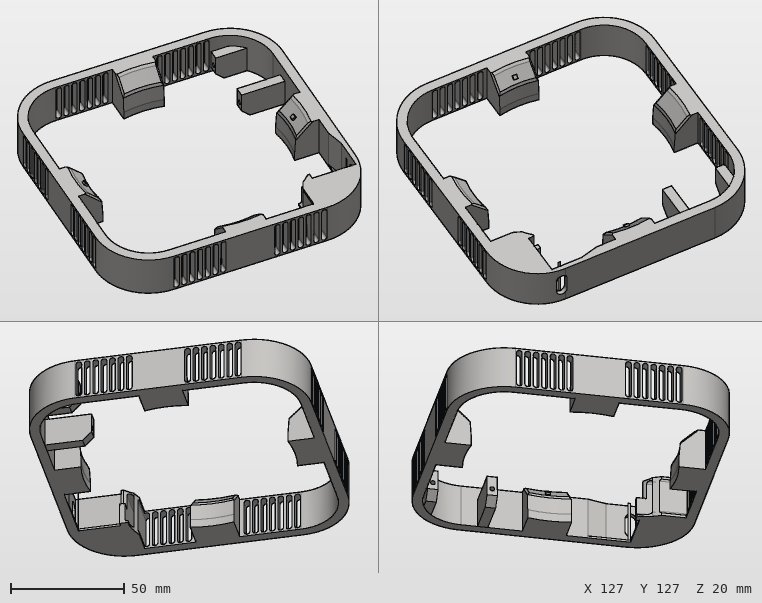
import cadquery as cq
import math

SIDE = 127.0
HEIGHT = 20.0
CORNER_RADIUS = 25.8
WALL = 4.7
INNER = SIDE / 2 - WALL

SLOT_WIDTH = 2.5
SLOT_LENGTH = 18.0
SLOT_PITCH = 3.8
SLOTS_PER_GROUP = 7
FIRST_SLOT = 13.2

TAB_WIDTH = 19.8
TAB_SEAT_RADIUS = 47.9
TAB_SEAT_HEIGHT = 4.1
TAB_FACE_TOP = (48.4, 12.2)
TAB_RAMP_START = (49.0, 13.7)
TAB_RAMP_END = (54.5, 19.0)
TAB_TOP_RADIUS = 55.9
TAB_RAMP_BEVEL = 0.9

BUMP_SIZE = 2.0
BUMP_HEIGHT = 1.0
BUMP_RADIUS = 51.2

BLOCK_X = 43.3
BLOCK_END_Y = 39.8
BLOCK_FRONT_Y = INNER - 25.7
BLOCK_FRONT_X = 47.8
BLOCK_FRONT_BULGE = (44.0, 34.8)
STUB_X = 37.2
STUB_Y = 36.0
STUB_ARC_X = 39.8
STUB_HEIGHT = 10.4
POST_X = 40.5
POST_BEVEL_Y = 38.7
POST_BEVEL_END = (42.8, 36.3)

LEDGE_X = 39.0
LEDGE_HEIGHT = 1.0
RECESS_Y = 61.1
RECESS_START_X = 19.7
RECESS_FULL_X = 28.3

OPENING_X = 39.5
OPENING_WIDTH = 5.1
OPENING_LENGTH = 11.7

BAR_CENTERS_X = (-54.6, -27.8)
BAR_WIDTH = 4.7
BAR_HEIGHT = 13.6
BAR_END_Y = 37.6
BAR_BEVEL = 4.1
BAR_HOLE_DIAMETER = 2.0
BAR_HOLE_Z = 7.4
BAR_HOLE_DEPTH = 6.4


def rounded_square(side, radius):
    return cq.Workplane("XY").rect(side, side).extrude(HEIGHT).edges("|Z").fillet(radius)


outer_form = rounded_square(SIDE, CORNER_RADIUS)
cavity = rounded_square(2 * INNER, CORNER_RADIUS - WALL)


def make_tab():
    """Tab on the +X wall: a ramped profile turned about the frame axis, trimmed to the tab width."""
    outer_radius = SIDE / 2 - WALL / 4
    ring = (
        cq.Workplane("XZ")
        .moveTo(outer_radius, 0)
        .lineTo(TAB_SEAT_RADIUS, 0)
        .lineTo(TAB_SEAT_RADIUS, TAB_SEAT_HEIGHT)
        .lineTo(*TAB_FACE_TOP)
        .lineTo(*TAB_RAMP_START)
        .lineTo(*TAB_RAMP_END)
        .lineTo(TAB_TOP_RADIUS, HEIGHT)
        .lineTo(outer_radius, HEIGHT)
        .close()
        .revolve(360, (0, 0), (0, 1))
    )
    trim = cq.Workplane("XY").box(INNER + WALL / 4, TAB_WIDTH, HEIGHT, centered=(False, True, False))
    tab = ring.intersect(trim)
    margin = 0.4
    ramp_sides = cq.selectors.BoxSelector(
        (TAB_RAMP_START[0] - 1.3, -SIDE, TAB_RAMP_START[1] + margin),
        (TAB_RAMP_END[0], SIDE, TAB_RAMP_END[1] - margin),
    )
    return tab.edges(ramp_sides).chamfer(TAB_RAMP_BEVEL)


def make_bump():
    """Small square bump standing square to the ramp of the +X tab."""
    rise = TAB_RAMP_END[1] - TAB_RAMP_START[1]
    run = TAB_RAMP_END[0] - TAB_RAMP_START[0]
    z = TAB_RAMP_START[1] + (BUMP_RADIUS - TAB_RAMP_START[0]) * rise / run
    slope = math.degrees(math.atan2(rise, run))
    return (
        cq.Workplane("XY")
        .box(BUMP_SIZE, BUMP_SIZE, 2 * BUMP_HEIGHT)
        .rotate((0, 0, 0), (0, 1, 0), -slope)
        .translate((BUMP_RADIUS, 0, z))
    )


def block_front(start):
    """Continue an outline from its start along the block's curved front, out to the frame edge."""
    return (
        start.threePointArc(BLOCK_FRONT_BULGE, (BLOCK_FRONT_X, BLOCK_FRONT_Y))
        .lineTo(SIDE / 2, BLOCK_FRONT_Y)
        .lineTo(SIDE / 2, SIDE / 2)
        .lineTo(BLOCK_X, SIDE / 2)
        .lineTo(BLOCK_X, BLOCK_END_Y)
    )


def make_corner_block():
    stub = (
        cq.Workplane("XY")
        .moveTo(STUB_X, BLOCK_END_Y)
        .lineTo(STUB_X, STUB_Y)
        .lineTo(STUB_ARC_X, STUB_Y)
    )
    lower = block_front(stub).close().extrude(STUB_HEIGHT)
    post = (
        cq.Workplane("XY")
        .moveTo(POST_X, BLOCK_END_Y)
        .lineTo(POST_X, POST_BEVEL_Y)
        .lineTo(*POST_BEVEL_END)
        .lineTo(*BLOCK_FRONT_BULGE)
        .lineTo(BLOCK_FRONT_X, BLOCK_FRONT_Y)
        .lineTo(SIDE / 2, BLOCK_FRONT_Y)
        .lineTo(SIDE / 2, SIDE / 2)
        .lineTo(BLOCK_X, SIDE / 2)
        .lineTo(BLOCK_X, BLOCK_END_Y)
        .close()
        .extrude(HEIGHT)
    )
    ledge = (
        cq.Workplane("XY")
        .rect(SIDE / 2 - LEDGE_X, SIDE / 2 - BLOCK_END_Y, centered=False)
        .extrude(LEDGE_HEIGHT)
        .translate((LEDGE_X, BLOCK_END_Y, 0))
    )
    return lower.union(post).union(ledge).intersect(outer_form)


def make_wall_recess():
    return (
        cq.Workplane("XY")
        .workplane(offset=LEDGE_HEIGHT)
        .moveTo(RECESS_START_X, INNER)
        .lineTo(RECESS_FULL_X, RECESS_Y)
        .lineTo(BLOCK_X, RECESS_Y)
        .lineTo(BLOCK_X, BLOCK_END_Y)
        .lineTo(LEDGE_X, BLOCK_END_Y)
        .lineTo(LEDGE_X, INNER)
        .close()
        .extrude(HEIGHT)
    )


def make_opening():
    return (
        cq.Workplane("XZ", origin=(OPENING_X, INNER, HEIGHT / 2))
        .slot2D(OPENING_LENGTH, OPENING_WIDTH, 90)
        .extrude(-SIDE / 2)
    )


slot_places = [
    (side * (FIRST_SLOT + i * SLOT_PITCH), HEIGHT / 2) for side in (-1, 1) for i in range(SLOTS_PER_GROUP)
]


def vent_cutter(plane):
    """All the vent slots of one wall, as bars starting on the given plane through the frame axis."""
    return cq.Workplane(plane).pushPoints(slot_places).slot2D(SLOT_LENGTH, SLOT_WIDTH, 90)


front_vents = vent_cutter("XZ").extrude(SIDE)
cross_vents = vent_cutter("YZ").extrude(SIDE, both=True)

frame = outer_form.cut(cavity).union(make_corner_block())
tab = make_tab()
bumped_tab = tab.union(make_bump())
for quarter in range(4):
    shape = bumped_tab if quarter % 2 else tab
    frame = frame.union(shape.rotate((0, 0, 0), (0, 0, 1), 90 * quarter))
frame = frame.cut(make_wall_recess()).cut(make_opening())
frame = frame.cut(front_vents).cut(cross_vents)


def make_bar(center_x):
    """Bar reaching from the inner wall face, with a beveled lower end and a hole in its end face."""
    bar = (
        cq.Workplane("YZ", origin=(center_x - BAR_WIDTH / 2, 0, 0))
        .moveTo(INNER, 0)
        .lineTo(BAR_END_Y + BAR_BEVEL, 0)
        .lineTo(BAR_END_Y, BAR_BEVEL)
        .lineTo(BAR_END_Y, BAR_HEIGHT)
        .lineTo(INNER, BAR_HEIGHT)
        .close()
        .extrude(BAR_WIDTH)
    )
    hole = (
        cq.Workplane("XZ", origin=(center_x, BAR_END_Y, BAR_HOLE_Z))
        .circle(BAR_HOLE_DIAMETER / 2)
        .extrude(-BAR_HOLE_DEPTH)
    )
    return bar.intersect(cavity).cut(hole)


bars = [make_bar(x).val() for x in BAR_CENTERS_X]

result = cq.Compound.makeCompound([frame.val(), *bars])